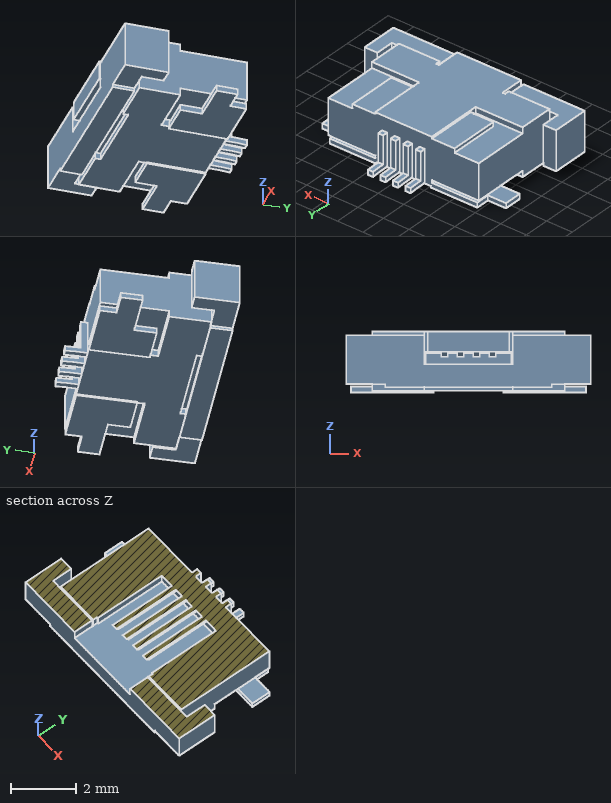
import cadquery as cq


HOUSING_HALF_WIDTH = 2.95
HOUSING_BOTTOM = 0.05
HOUSING_TOP = 1.87
HOUSING_FRONT = 0.73
HOUSING_BACK = 4.2

RECESS_HALF_WIDTH = 1.35
RECESS_BACK = 0.9
TONGUE_HALF_WIDTH = 1.255
TONGUE_BOTTOM = 1.25

SLOT_HALF_WIDTH = 1.31
SLOT_FLOOR = 0.87
SLOT_BACK = 3.4
SLOT_BEVEL_HEIGHT = 0.05
SLOT_BEVEL_LENGTH = 0.02

POCKET_FRONT = 2.05
POCKET_INNER_X = 1.11
TOP_POCKET_FLOOR = 1.645
BOTTOM_POCKET_CEILING = 0.285

PAD_OUTER_X = 2.0
PAD_FRONT = 2.3
PAD_TOP = 1.805
PAD_LIP_WIDTH = 0.1
PAD_LIP_FRONT = 2.285

TAB_THICKNESS = 0.19
TAB_PLATE_FRONT = PAD_FRONT
TAB_PLATE_INNER_X = 1.06
TAB_PLATE_OUTER_X = 2.2
TAB_EAR_OUTER_X = 3.6
TAB_EAR_FRONT = 3.0
TAB_EAR_BACK = 3.68
TAB_REAR_OUTER_X = 2.89

SLIDER_HALF_WIDTH = 3.75
SLIDER_BOTTOM = 0.26
SLIDER_TOP = 1.76
SLIDER_BAR_DEPTH = 0.7
SLIDER_ARM_WIDTH = 0.5
SLIDER_ARM_BACK = 1.41
SLIDER_STEP_HALF_WIDTH = 2.55
SLIDER_STEP_BOTTOM = 0.165

CONTACT_COUNT = 4
CONTACT_PITCH = 0.49
CONTACT_WIDTH = 0.2
BEAM_RAMP_START = 1.0
BEAM_BOTTOM = 1.1
BEAM_RAMP_END = BEAM_RAMP_START + TONGUE_BOTTOM - BEAM_BOTTOM
LEG_TOP = 1.315
LEG_BACK = 4.405
LEG_BOTTOM = 0.07
TAIL_TOP = 0.26
TAIL_BACK = 4.9
TAIL_FLAT_START = 4.6
TAIL_DROP = 0.02


def block(x_range, y_range, z_range):
    """Axis-aligned box spanning the given (low, high) ranges."""
    (x0, x1), (y0, y1), (z0, z1) = x_range, y_range, z_range
    return cq.Workplane("XY").box(x1 - x0, y1 - y0, z1 - z0, centered=False).translate((x0, y0, z0))


def centered_block(half_width, y_range, z_range):
    """Box symmetric about X = 0."""
    return block((-half_width, half_width), y_range, z_range)


def both_sides(shape):
    """The shape together with its mirror image across X = 0."""
    return shape.union(shape.mirror("YZ"))


def side_profile(points, width, center_x):
    """Prism of a (Y, Z) outline, centred on center_x."""
    prism = cq.Workplane("YZ").polyline(points).close().extrude(width / 2, both=True)
    return prism.translate((center_x, 0, 0))


def make_slot():
    """Cable slot whose ceiling slopes down to the back wall."""
    outline = [
        (0, SLOT_FLOOR),
        (SLOT_BACK, SLOT_FLOOR),
        (SLOT_BACK, TONGUE_BOTTOM - SLOT_BEVEL_HEIGHT),
        (SLOT_BACK - SLOT_BEVEL_LENGTH, TONGUE_BOTTOM),
        (0, TONGUE_BOTTOM),
    ]
    return side_profile(outline, 2 * SLOT_HALF_WIDTH, 0)


def make_housing():
    """Housing block with its front recess, tongue, corner pockets and cable slot."""
    height = (HOUSING_BOTTOM, HOUSING_TOP)
    housing = centered_block(HOUSING_HALF_WIDTH, (HOUSING_FRONT, HOUSING_BACK), height)
    housing = housing.cut(centered_block(RECESS_HALF_WIDTH, (HOUSING_FRONT, RECESS_BACK), height))
    housing = housing.union(
        centered_block(TONGUE_HALF_WIDTH, (0, RECESS_BACK), (TONGUE_BOTTOM, HOUSING_TOP))
    )
    pocket_x = (POCKET_INNER_X, HOUSING_HALF_WIDTH)
    pocket_y = (POCKET_FRONT, HOUSING_BACK)
    for pocket_z in [(TOP_POCKET_FLOOR, HOUSING_TOP), (HOUSING_BOTTOM, BOTTOM_POCKET_CEILING)]:
        housing = housing.cut(both_sides(block(pocket_x, pocket_y, pocket_z)))
    return housing.cut(make_slot())


def make_pads():
    """Retainer pads, each with a narrow lip along its inner edge."""
    pad_z = (TOP_POCKET_FLOOR, PAD_TOP)
    pad = block((POCKET_INNER_X, PAD_OUTER_X), (PAD_FRONT, HOUSING_BACK), pad_z)
    lip_x = (POCKET_INNER_X, POCKET_INNER_X + PAD_LIP_WIDTH)
    lip = block(lip_x, (PAD_LIP_FRONT, HOUSING_BACK), pad_z)
    return both_sides(pad.union(lip))


def make_solder_tabs():
    """Plates under the housing, each with an ear sticking out sideways."""
    tab_z = (0, TAB_THICKNESS)
    plate = block((TAB_PLATE_INNER_X, TAB_PLATE_OUTER_X), (TAB_PLATE_FRONT, HOUSING_BACK), tab_z)
    ear = block((TAB_PLATE_OUTER_X, TAB_EAR_OUTER_X), (TAB_EAR_FRONT, TAB_EAR_BACK), tab_z)
    rear = block((TAB_PLATE_OUTER_X, TAB_REAR_OUTER_X), (TAB_EAR_FRONT, HOUSING_BACK), tab_z)
    return both_sides(plate.union(ear).union(rear))


def make_slider():
    """Front bar with rear-pointing end arms, a centre notch and a blade entering the housing."""
    height = (SLIDER_BOTTOM, SLIDER_TOP)
    bar_y = (0, SLIDER_BAR_DEPTH)
    bar = centered_block(SLIDER_HALF_WIDTH, bar_y, height)
    step = centered_block(SLIDER_STEP_HALF_WIDTH, bar_y, (SLIDER_STEP_BOTTOM, SLIDER_BOTTOM))
    arm_x = (SLIDER_HALF_WIDTH - SLIDER_ARM_WIDTH, SLIDER_HALF_WIDTH)
    arms = both_sides(block(arm_x, (0, SLIDER_ARM_BACK), height))
    notch = centered_block(RECESS_HALF_WIDTH, bar_y, (SLOT_FLOOR, SLIDER_TOP))
    blade = centered_block(RECESS_HALF_WIDTH, (0, RECESS_BACK), (SLIDER_BOTTOM, SLOT_FLOOR))
    return bar.union(step).union(arms).cut(notch).union(blade)


def make_contact(center_x):
    """Ramped beam in the slot, and a rear leg with its solder tail."""
    beam = [
        (BEAM_RAMP_START, TONGUE_BOTTOM),
        (BEAM_RAMP_END, BEAM_BOTTOM),
        (SLOT_BACK, BEAM_BOTTOM),
        (SLOT_BACK, TONGUE_BOTTOM),
    ]
    leg = [
        (HOUSING_BACK, LEG_BOTTOM),
        (TAIL_FLAT_START, LEG_BOTTOM),
        (TAIL_BACK, LEG_BOTTOM - TAIL_DROP),
        (TAIL_BACK, TAIL_TOP - TAIL_DROP),
        (LEG_BACK, TAIL_TOP),
        (LEG_BACK, LEG_TOP),
        (HOUSING_BACK, LEG_TOP),
    ]
    return side_profile(beam, CONTACT_WIDTH, center_x).union(side_profile(leg, CONTACT_WIDTH, center_x))


result = make_housing().union(make_pads()).union(make_solder_tabs()).union(make_slider())
for index in range(CONTACT_COUNT):
    contact_x = (index - (CONTACT_COUNT - 1) / 2) * CONTACT_PITCH
    result = result.union(make_contact(contact_x))